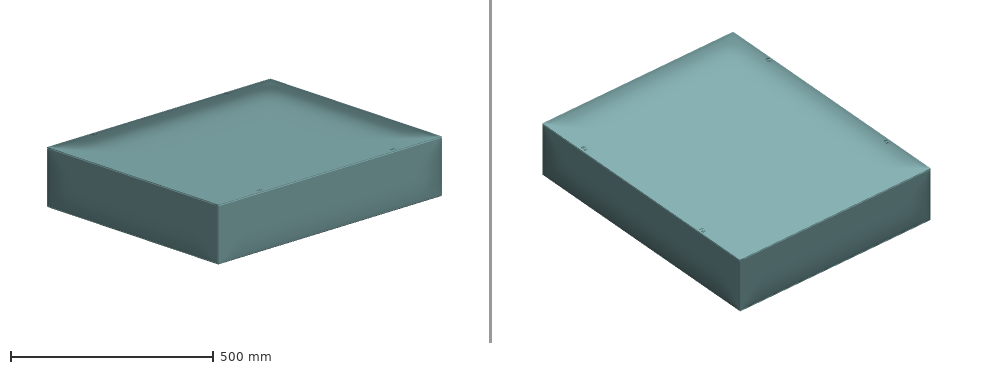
import cadquery as cq

WIDTH = 613.5
LENGTH = 762.0
TOTAL_HEIGHT = 159.0
SHEET = 1.9
FLANGE_WIDTH = 15.0
BEND_RADIUS = 2.0

SCREW_SPACING_X = 593.0
SCREW_SPACING_Y = 456.5
SHANK_DIAMETER = 4.35
COLLAR_DIAMETER = 11.5
COLLAR_HEIGHT = 1.15
HEAD_DIAMETER = 7.2
HEAD_HEIGHT = 1.9

NECK_WIDTH = 4.8
ENTRY_DIAMETER = 12.0
ENTRY_DROP = 6.0

COVER_TOP = TOTAL_HEIGHT - COLLAR_HEIGHT - HEAD_HEIGHT
BODY_TOP = COVER_TOP - SHEET
LIP_BOTTOM = BODY_TOP - SHEET
INNER_WIDTH = WIDTH - 2 * SHEET
OPENING_WIDTH = WIDTH - 2 * FLANGE_WIDTH
SCREW_POINTS = [
    (side_x * SCREW_SPACING_X / 2, side_y * SCREW_SPACING_Y / 2)
    for side_x in (-1, 1)
    for side_y in (-1, 1)
]


def block(width, length, bottom, top):
    """Box centred on the Z axis between two levels."""
    return (
        cq.Workplane("XY", origin=(0, 0, bottom))
        .rect(width, length)
        .extrude(top - bottom)
    )


def make_wrap():
    """Floor and side walls joined by bends, with a lip folded inwards along the top of each side wall."""
    outer = block(WIDTH, LENGTH, 0, BODY_TOP).edges("|Y").fillet(BEND_RADIUS)
    cavity = block(INNER_WIDTH, LENGTH, SHEET, LIP_BOTTOM)
    opening = block(OPENING_WIDTH, LENGTH, LIP_BOTTOM, BODY_TOP)
    screw_holes = (
        cq.Workplane("XY", origin=(0, 0, LIP_BOTTOM))
        .pushPoints(SCREW_POINTS)
        .circle(SHANK_DIAMETER / 2)
        .extrude(SHEET)
    )
    return outer.cut(cavity).cut(opening).cut(screw_holes)


def make_end_cap(end):
    """Panel with four flanges bent inwards and notched corners; end is -1 or 1 along Y."""
    outer_face = ">Y" if end > 0 else "<Y"

    def bent_band(width, bottom, top, bend_edges):
        """Part of the pan's outside, as deep as the flanges, rounded along its bends."""
        shift = end * (LENGTH - FLANGE_WIDTH) / 2
        band = block(width, FLANGE_WIDTH, bottom, top).translate((0, shift, 0))
        return band.faces(outer_face).edges(bend_edges).fillet(BEND_RADIUS)

    sides = bent_band(INNER_WIDTH, SHEET + BEND_RADIUS, LIP_BOTTOM - BEND_RADIUS, "|Z")
    lower = bent_band(INNER_WIDTH - 2 * BEND_RADIUS, SHEET, BODY_TOP - BEND_RADIUS, "<Z")
    upper = bent_band(OPENING_WIDTH, SHEET + BEND_RADIUS, BODY_TOP, ">Z")
    inside = block(INNER_WIDTH - 2 * SHEET, LENGTH - 2 * SHEET, 2 * SHEET, LIP_BOTTOM)
    return sides.union(lower).union(upper).cut(inside)


def make_cover():
    """Flat sheet with a keyhole at each screw."""
    cover = block(WIDTH, LENGTH, BODY_TOP, COVER_TOP)
    for x, y in SCREW_POINTS:
        keyhole = cq.Workplane("XY", origin=(x, y, BODY_TOP))
        neck_end = keyhole.circle(NECK_WIDTH / 2).extrude(SHEET)
        neck = keyhole.center(0, -ENTRY_DROP / 2).rect(NECK_WIDTH, ENTRY_DROP).extrude(SHEET)
        entry = keyhole.center(0, -ENTRY_DROP).circle(ENTRY_DIAMETER / 2).extrude(SHEET)
        cover = cover.cut(neck_end).cut(neck).cut(entry)
    return cover


def make_screw(x, y):
    """Shank through the cover and the lip, under a collar and a head."""
    shank = cq.Workplane("XY", origin=(x, y, LIP_BOTTOM)).circle(SHANK_DIAMETER / 2)
    collar = cq.Workplane("XY", origin=(x, y, COVER_TOP)).circle(COLLAR_DIAMETER / 2)
    head = cq.Workplane("XY", origin=(x, y, COVER_TOP + COLLAR_HEIGHT)).circle(HEAD_DIAMETER / 2)
    return (
        shank.extrude(COVER_TOP - LIP_BOTTOM)
        .union(collar.extrude(COLLAR_HEIGHT))
        .union(head.extrude(HEAD_HEIGHT))
    )


wrap = make_wrap()
end_caps = [make_end_cap(end) for end in (-1, 1)]
cover = make_cover()
screws = [make_screw(x, y) for x, y in SCREW_POINTS]

result = cq.Compound.makeCompound(
    [
        wrap.val(),
        *[end_cap.val() for end_cap in end_caps],
        cover.val(),
        *[screw.val() for screw in screws],
    ]
)